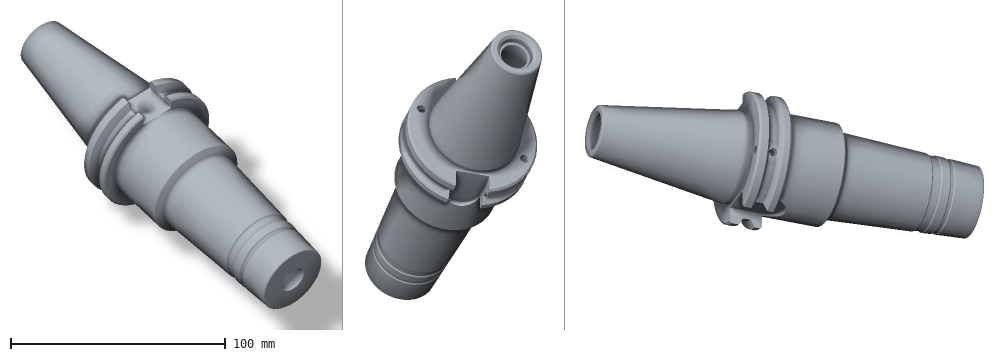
import cadquery as cq
import math


length = 188.2
gauge_x = 67.8
gauge_radius = 22.2
taper_slope = 7 / 24 / 2
taper_end_radius = gauge_radius - gauge_x * taper_slope
taper_end_chamfer = 0.5
relief_radius = 43.7 / 2
relief_x = gauge_x + 2.0
relief_root_fillet = 0.5

flange_x = 71.0
flange_width = 16.0
flange_end_x = flange_x + flange_width
flange_radius = 31.6
flange_chamfer = 1.0
flange_rear_chamfer = 0.8
groove_x = 79.5
groove_floor_radius = 28.0
groove_floor_half_width = 1.9
groove_flank_angle = 30
groove_mouth_half_width = (
    groove_floor_half_width
    + (flange_radius - groove_floor_radius) * math.tan(math.radians(groove_flank_angle))
)

body_radius = 49.5 / 2
body_root_fillet = 1.0
shoulder_x = 116.0
shoulder_fillet = 0.8
nose_x = 118.5
nose_radius = 20.9
nose_angle = 3
nose_tip_chamfer = 0.4
nose_grooves = [(161.7, 166.8), (171.0, 173.5)]
nose_groove_depth = 0.5

bore_diameter = 13.0
socket_diameter = 16.4
socket_depth = 4.1
socket_mouth_diameter = 19.0
socket_chamfer = (socket_mouth_diameter - socket_diameter) / 2

slot_width = 16.4
top_slot_floor = 25.0
bottom_slot_floor = 22.4
slot_floor_fillet = 0.4
dimple_diameter = 9.6
dimple_tip_angle = 120

coolant_angle = 20
coolant_mouth_diameter = 4.0
coolant_mouth_depth = 1.5
coolant_drill_diameter = 3.2
coolant_face_radius = 26.7
coolant_tilt = 25
coolant_groove_depth = 7.5


def nose_cone_radius(x):
    return nose_radius - (x - nose_x) * math.tan(math.radians(nose_angle))


def fillet_circle(solid, x, radius, fillet_radius):
    """Round the circular edge of the given radius that lies at x."""
    slack = fillet_radius / 4
    reach = radius + slack
    circle = cq.selectors.BoxSelector(
        (x - slack, -reach, -reach), (x + slack, reach, reach), boundingbox=True
    )
    return solid.edges(circle).fillet(fillet_radius)


def make_turned_body():
    """Solid of revolution: taper, flange blank, body and conical nose."""
    tip_radius = nose_cone_radius(length)
    profile = (
        cq.Workplane("XY")
        .lineTo(0, taper_end_radius - taper_end_chamfer)
        .lineTo(taper_end_chamfer, taper_end_radius + taper_end_chamfer * taper_slope)
        .lineTo(gauge_x, gauge_radius)
        .lineTo(relief_x, relief_radius)
        .lineTo(flange_x, relief_radius)
        .lineTo(flange_x, flange_radius - flange_chamfer)
        .lineTo(flange_x + flange_chamfer, flange_radius)
        .lineTo(groove_x - groove_mouth_half_width, flange_radius)
        .lineTo(groove_x - groove_floor_half_width, groove_floor_radius)
        .lineTo(groove_x + groove_floor_half_width, groove_floor_radius)
        .lineTo(groove_x + groove_mouth_half_width, flange_radius)
        .lineTo(flange_end_x - flange_rear_chamfer, flange_radius)
        .lineTo(flange_end_x, flange_radius - flange_rear_chamfer)
        .lineTo(flange_end_x, body_radius)
        .lineTo(shoulder_x, body_radius)
        .lineTo(nose_x, nose_radius)
        .lineTo(length - nose_tip_chamfer, nose_cone_radius(length - nose_tip_chamfer))
        .lineTo(length, tip_radius - nose_tip_chamfer)
        .lineTo(length, 0)
        .close()
    )
    turned = profile.revolve(360, (0, 0, 0), (1, 0, 0))
    turned = fillet_circle(turned, flange_x, relief_radius, relief_root_fillet)
    turned = fillet_circle(turned, flange_end_x, body_radius, body_root_fillet)
    turned = fillet_circle(turned, shoulder_x, body_radius, shoulder_fillet)
    return fillet_circle(turned, nose_x, nose_radius, shoulder_fillet)


def make_nose_groove(start_x, end_x):
    """Ring that leaves a shallow groove with sloping walls in the nose cone."""
    floor_start_x = start_x + nose_groove_depth
    floor_end_x = end_x - nose_groove_depth
    profile = (
        cq.Workplane("XY")
        .moveTo(start_x, nose_cone_radius(start_x))
        .lineTo(floor_start_x, nose_cone_radius(floor_start_x) - nose_groove_depth)
        .lineTo(floor_end_x, nose_cone_radius(floor_end_x) - nose_groove_depth)
        .lineTo(end_x, nose_cone_radius(end_x))
        .lineTo(end_x, body_radius)
        .lineTo(start_x, body_radius)
        .close()
    )
    return profile.revolve(360, (0, 0, 0), (1, 0, 0))


def make_bore():
    """Through bore with a wider socket and a chamfered mouth at the taper end."""
    profile = (
        cq.Workplane("XY")
        .lineTo(0, socket_mouth_diameter / 2)
        .lineTo(socket_chamfer, socket_diameter / 2)
        .lineTo(socket_depth, socket_diameter / 2)
        .lineTo(socket_depth, bore_diameter / 2)
        .lineTo(length, bore_diameter / 2)
        .lineTo(length, 0)
        .close()
    )
    return profile.revolve(360, (0, 0, 0), (1, 0, 0))


def make_drive_slot(floor, side):
    """Slot across the flange, ending in a half round; side is +1 for top, -1 for bottom."""
    half_width = slot_width / 2
    slot = (
        cq.Workplane("XY")
        .workplane(offset=side * floor)
        .moveTo(flange_x, -half_width)
        .lineTo(flange_end_x, -half_width)
        .threePointArc((flange_end_x + half_width, 0), (flange_end_x, half_width))
        .lineTo(flange_x, half_width)
        .close()
        .extrude(side * flange_radius)
    )
    floor_face = "<Z" if side > 0 else ">Z"
    return slot.faces(floor_face).edges("not <X").fillet(slot_floor_fillet)


def make_dimple():
    """Conical dimple in the floor of the top slot."""
    radius = dimple_diameter / 2
    depth = radius / math.tan(math.radians(dimple_tip_angle / 2))
    centre = cq.Vector(groove_x, 0, top_slot_floor)
    return cq.Workplane(cq.Solid.makeCone(radius, 0, depth, centre, cq.Vector(0, 0, -1)))


def make_stepped_hole(point, direction, depth):
    """Hole with a wide mouth at point and a narrower drilled length down to depth."""
    lead_in = flange_radius - groove_floor_radius
    mouth = cq.Solid.makeCylinder(
        coolant_mouth_diameter / 2, lead_in + coolant_mouth_depth, point - direction * lead_in, direction
    )
    drilled = cq.Solid.makeCylinder(coolant_drill_diameter / 2, depth, point, direction)
    return cq.Workplane(mouth.fuse(drilled))


def make_coolant_holes(angle):
    """Radial hole in the groove floor and a tilted one meeting it from the flange face."""
    axial = cq.Vector(1, 0, 0)
    outward = cq.Vector(0, math.cos(math.radians(angle)), math.sin(math.radians(angle)))
    tilt = math.radians(coolant_tilt)
    tilted = axial * math.cos(tilt) - outward * math.sin(tilt)
    face_point = axial * flange_x + outward * coolant_face_radius
    groove_point = axial * groove_x + outward * groove_floor_radius
    meeting_depth = (groove_x - flange_x) / math.cos(tilt)
    return [
        make_stepped_hole(face_point, tilted, meeting_depth),
        make_stepped_hole(groove_point, outward * -1, coolant_groove_depth),
    ]


result = make_turned_body()
for start_x, end_x in nose_grooves:
    result = result.cut(make_nose_groove(start_x, end_x))
result = result.cut(make_bore())
result = result.cut(make_drive_slot(top_slot_floor, 1))
result = result.cut(make_drive_slot(bottom_slot_floor, -1))
result = result.cut(make_dimple())
for angle in (coolant_angle, coolant_angle + 180):
    for hole in make_coolant_holes(angle):
        result = result.cut(hole)